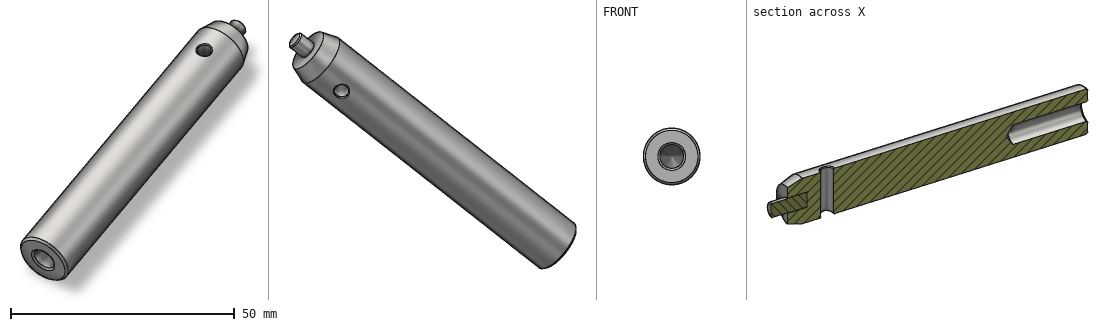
import cadquery as cq
import math

handle_diameter = 12.7
handle_length = 76.2
rear_chamfer = 0.5
nose_length = 3.75
nose_tip_diameter = 10.16

rear_hole_diameter = 5.3
rear_hole_mouth_diameter = 6.2
rear_hole_depth = 19.0
drill_point_angle = 118.0

cross_hole_diameter = 3.175
cross_hole_rim_chamfer = 0.25
cross_hole_from_nose = 10.16

pin_diameter = 4.0
pin_protrusion = 4.13
pin_seat_depth = 5.0
pin_chamfer = 0.3

rear_y = -(handle_length + pin_protrusion) / 2
nose_y = rear_y + handle_length
pin_tip_y = nose_y + pin_protrusion
pin_seat_y = nose_y - pin_seat_depth


def revolve_about_y(profile_points):
    """Turn a closed (radius, y) outline about the Y axis."""
    return cq.Workplane("XY").polyline(profile_points).close().revolve(360, (0, 0, 0), (0, 1, 0))


def make_handle_blank():
    """Turned bar with a chamfered rear edge and a tapered nose."""
    radius = handle_diameter / 2
    return revolve_about_y([
        (0, rear_y),
        (radius - rear_chamfer, rear_y),
        (radius, rear_y + rear_chamfer),
        (radius, nose_y - nose_length),
        (nose_tip_diameter / 2, nose_y),
        (0, nose_y),
    ])


def make_rear_hole():
    """Drilled hole with a 45 degree countersunk mouth and a conical bottom."""
    radius = rear_hole_diameter / 2
    mouth_radius = rear_hole_mouth_diameter / 2
    hole_end_y = rear_y + rear_hole_depth
    drill_point_length = radius / math.tan(math.radians(drill_point_angle / 2))
    return revolve_about_y([
        (0, rear_y),
        (mouth_radius, rear_y),
        (radius, rear_y + mouth_radius - radius),
        (radius, hole_end_y),
        (0, hole_end_y + drill_point_length),
    ])


def drill_cross_hole(bar):
    """Cut a round hole along Z through the bar and chamfer both of its rims."""
    hole_y = nose_y - cross_hole_from_nose
    hole = (
        cq.Workplane("XY")
        .center(0, hole_y)
        .circle(cross_hole_diameter / 2)
        .extrude(handle_diameter / 2, both=True)
    )
    hole_wall = bar.cut(hole).faces(cq.selectors.NearestToPointSelector((0, hole_y, 0)))
    return hole_wall.edges("not |Z").chamfer(cross_hole_rim_chamfer)


def make_pin_seat():
    """Blind bore in the nose that fits the pin."""
    radius = pin_diameter / 2
    return revolve_about_y([(0, pin_seat_y), (radius, pin_seat_y), (radius, nose_y), (0, nose_y)])


def make_handle():
    bar = drill_cross_hole(make_handle_blank())
    return bar.cut(make_rear_hole()).cut(make_pin_seat())


def make_pin():
    """Round pin with a chamfered outer tip."""
    radius = pin_diameter / 2
    return revolve_about_y([
        (0, pin_seat_y),
        (radius, pin_seat_y),
        (radius, pin_tip_y - pin_chamfer),
        (radius - pin_chamfer, pin_tip_y),
        (0, pin_tip_y),
    ])


handle = make_handle()
pin = make_pin()

result = cq.Compound.makeCompound([handle.val(), pin.val()])